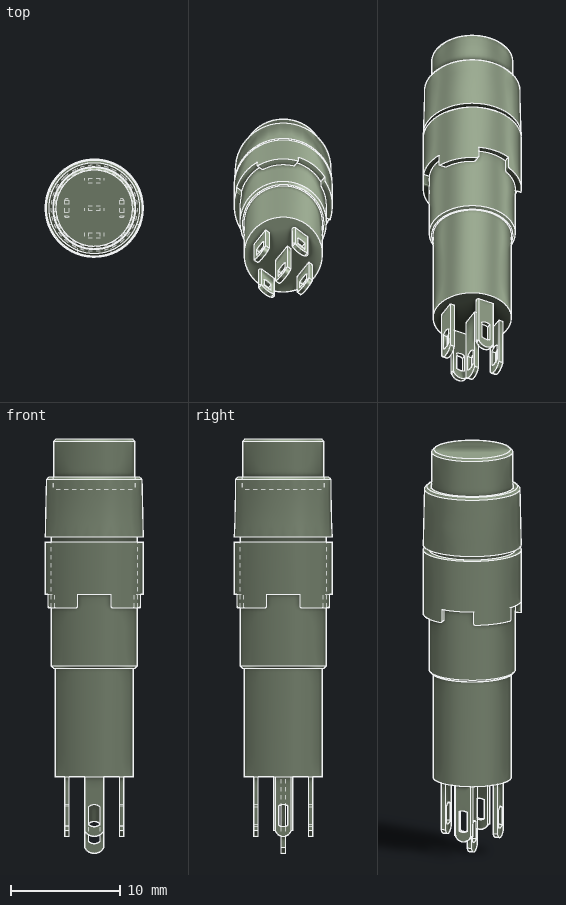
import cadquery as cq
import math

BASE_BOTTOM = 7.03
LOWER_TOP = 17.18
RING_BOTTOM = 22.5
NOTCH_TOP = 23.75
RING_TOP = 28.55
BEZEL_BOTTOM = 29.0
BEZEL_TOP = 34.5
BUTTON_TOP = 38.0

LOWER_DIAMETER = 7.2
BARREL_DIAMETER = 7.9
RING_DIAMETER = 9.0
BEZEL_BOTTOM_DIAMETER = RING_DIAMETER
BEZEL_TOP_DIAMETER = 8.78
BUTTON_DIAMETER = 7.45
EDGE_CHAMFER = 0.23

BUTTON_CLEARANCE = 0.08
BUTTON_SEAT_DEPTH = 1.15
SEAT_FLOOR = BEZEL_TOP - BUTTON_SEAT_DEPTH

NOTCH_WIDTH = 3.05
NOTCH_DIRECTIONS = (0, 90)
TOOTH_FILLET = 0.2

TERMINAL_THICKNESS = 0.4
TERMINAL_OFFSET = 2.5
CENTRE_TIP = 0.0
OUTER_TIP = 1.55
TIP_RISE = 0.55
SLOT_ABOVE_TIP = 0.9
SLOT_HEIGHT = 2.0
SLOT_END_RADIUS = 0.75

SQUARE_WIDTH = 1.75
SQUARE_SLOT_WIDTH = 1.03

ROUND_FLAT_WIDTH = 1.45
ROUND_EDGE_BULGE = 0.15
ROUND_SLOT_WIDTH = 0.8


def slot_cutter(width, bottom):
    """Upright slot through a terminal, with shallow arched ends."""
    half = width / 2
    top = bottom + SLOT_HEIGHT
    end_rise = SLOT_END_RADIUS - math.sqrt(SLOT_END_RADIUS**2 - half**2)
    return (
        cq.Workplane("XZ")
        .moveTo(-half, bottom + end_rise)
        .threePointArc((0, bottom), (half, bottom + end_rise))
        .lineTo(half, top - end_rise)
        .threePointArc((0, top), (-half, top - end_rise))
        .close()
        .extrude(TERMINAL_THICKNESS, both=True)
    )


def square_terminal(tip, width, slot_width):
    """Flat terminal on the Z axis facing -Y, with an arched tip and a slot."""
    half = width / 2
    shoulder = tip + TIP_RISE
    plate = (
        cq.Workplane("XZ")
        .moveTo(-half, BASE_BOTTOM)
        .lineTo(-half, shoulder)
        .threePointArc((0, tip), (half, shoulder))
        .lineTo(half, BASE_BOTTOM)
        .close()
        .extrude(TERMINAL_THICKNESS / 2, both=True)
    )
    return plate.cut(slot_cutter(slot_width, tip + SLOT_ABOVE_TIP))


def round_terminal(tip):
    """Flat terminal like the square one, with both long edges rounded down to the tip."""
    half_width = ROUND_FLAT_WIDTH / 2
    half_thickness = TERMINAL_THICKNESS / 2
    shoulder = tip + TIP_RISE
    terminal = square_terminal(tip, ROUND_FLAT_WIDTH, ROUND_SLOT_WIDTH)
    for side in (-1, 1):
        edge = (
            cq.Workplane("XY", origin=(0, 0, shoulder))
            .moveTo(side * half_width, -half_thickness)
            .threePointArc(
                (side * (half_width + ROUND_EDGE_BULGE), 0),
                (side * half_width, half_thickness),
            )
            .close()
            .extrude(BASE_BOTTOM - shoulder)
        )
        terminal = terminal.union(edge)
    return terminal


def make_housing_shell():
    """Stepped round housing with a tapered bezel and a seat for the button."""
    lower_radius = LOWER_DIAMETER / 2
    barrel_radius = BARREL_DIAMETER / 2
    bezel_top_radius = BEZEL_TOP_DIAMETER / 2
    seat_radius = BUTTON_DIAMETER / 2 + BUTTON_CLEARANCE
    return (
        cq.Workplane("XZ")
        .moveTo(0, BASE_BOTTOM)
        .lineTo(lower_radius, BASE_BOTTOM)
        .lineTo(lower_radius, LOWER_TOP - EDGE_CHAMFER)
        .lineTo(barrel_radius - EDGE_CHAMFER, LOWER_TOP - EDGE_CHAMFER)
        .lineTo(barrel_radius, LOWER_TOP)
        .lineTo(barrel_radius, BEZEL_BOTTOM)
        .lineTo(BEZEL_BOTTOM_DIAMETER / 2, BEZEL_BOTTOM)
        .lineTo(bezel_top_radius, BEZEL_TOP - EDGE_CHAMFER)
        .lineTo(bezel_top_radius - EDGE_CHAMFER, BEZEL_TOP)
        .lineTo(seat_radius, BEZEL_TOP)
        .lineTo(seat_radius, SEAT_FLOOR)
        .lineTo(0, SEAT_FLOOR)
        .close()
        .revolve(360, (0, 0, 0), (0, 1, 0))
    )


def make_housing():
    """Housing in one piece with its five solder terminals."""
    housing = make_housing_shell()
    housing = housing.union(square_terminal(CENTRE_TIP, SQUARE_WIDTH, SQUARE_SLOT_WIDTH))
    square = square_terminal(OUTER_TIP, SQUARE_WIDTH, SQUARE_SLOT_WIDTH)
    turned_round = round_terminal(OUTER_TIP).rotate((0, 0, 0), (0, 0, 1), 90)
    for side in (-1, 1):
        housing = housing.union(square.translate((0, side * TERMINAL_OFFSET, 0)))
        housing = housing.union(turned_round.translate((side * TERMINAL_OFFSET, 0, 0)))
    return housing


def make_button():
    """Round push button standing on the floor of the bezel seat."""
    return (
        cq.Workplane("XY", origin=(0, 0, SEAT_FLOOR))
        .circle(BUTTON_DIAMETER / 2)
        .extrude(BUTTON_TOP - SEAT_FLOOR)
        .faces(">Z")
        .chamfer(EDGE_CHAMFER)
    )


def make_ring():
    """Locking ring around the barrel, with four notches that leave four teeth below."""
    ring = (
        cq.Workplane("XY", origin=(0, 0, RING_BOTTOM))
        .circle(RING_DIAMETER / 2)
        .circle(BARREL_DIAMETER / 2)
        .extrude(RING_TOP - RING_BOTTOM)
    )
    notch = (
        cq.Workplane("XY", origin=(0, 0, RING_BOTTOM))
        .rect(NOTCH_WIDTH, RING_DIAMETER)
        .extrude(NOTCH_TOP - RING_BOTTOM)
    )
    for direction in NOTCH_DIRECTIONS:
        ring = ring.cut(notch.rotate((0, 0, 0), (0, 0, 1), direction))
    return ring.faces("<Z").edges("|X or |Y").fillet(TOOTH_FILLET)


housing = make_housing()
button = make_button()
ring = make_ring()

result = cq.Compound.makeCompound([housing.val(), button.val(), ring.val()])